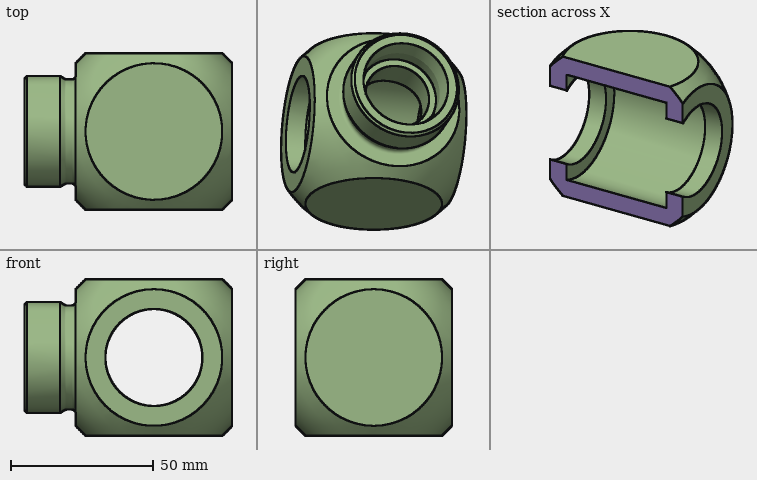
import cadquery as cq
import math

body_side = 55.0
face_circle_dia = 48.0
half_side = body_side / 2
sphere_radius = math.hypot(half_side, face_circle_dia / 2)

overall_length = 73.0
spigot_dia = 39.0
spigot_chamfer = 1.0
spigot_end_x = half_side - overall_length

undercut_dia = 36.7
undercut_length = 5.5
undercut_slope_angle = math.radians(30)
undercut_slope_fillet = 1.0
undercut_body_fillet = 1.2

mouth_dia = 30.7
mouth_cone_half_angle = math.radians(12)
socket_dia = 28.0
socket_depth = 12.0
passage_dia = 23.0

cross_bore_dia = 34.0
chamber_dia = 45.0
land_length = 7.0


def cylinder_along_y(diameter, length):
    return cq.Workplane("XZ").circle(diameter / 2).extrude(length / 2, both=True)


def revolve_about_x(profile):
    """Turn a closed (x, radius) profile around the X axis."""
    return profile.revolve(360, (0, 0, 0), (1, 0, 0))


def make_body():
    cube = cq.Workplane("XY").box(body_side, body_side, body_side)
    return cube.intersect(cq.Workplane("XY").sphere(sphere_radius))


def make_spigot():
    outer = spigot_dia / 2
    root = undercut_dia / 2
    body_x = -half_side
    slope_start_x = body_x - undercut_length
    slope_end_x = slope_start_x + (outer - root) / math.tan(undercut_slope_angle)

    tangent = undercut_slope_fillet * math.tan(undercut_slope_angle / 2)
    center_r = root + undercut_slope_fillet
    fillet_start = (
        slope_end_x - tangent * math.cos(undercut_slope_angle),
        root + tangent * math.sin(undercut_slope_angle),
    )
    fillet_end = (slope_end_x + tangent, root)
    fillet_middle = (
        fillet_end[0] - undercut_slope_fillet * math.sin(undercut_slope_angle / 2),
        center_r - undercut_slope_fillet * math.cos(undercut_slope_angle / 2),
    )

    round_offset = undercut_body_fillet * (1 - math.sqrt(0.5))
    profile = (
        cq.Workplane("XY")
        .moveTo(spigot_end_x, 0)
        .lineTo(spigot_end_x, outer - spigot_chamfer)
        .lineTo(spigot_end_x + spigot_chamfer, outer)
        .lineTo(slope_start_x, outer)
        .lineTo(*fillet_start)
        .threePointArc(fillet_middle, fillet_end)
        .lineTo(body_x - undercut_body_fillet, root)
        .threePointArc(
            (body_x - round_offset, root + round_offset),
            (body_x, root + undercut_body_fillet),
        )
        .lineTo(0, root + undercut_body_fillet)
        .lineTo(0, 0)
        .close()
    )
    return revolve_about_x(profile)


def make_socket_cutter():
    """Conical mouth, straight socket and passage reaching the cross bore."""
    cone_length = (mouth_dia - socket_dia) / 2 / math.tan(mouth_cone_half_angle)
    socket_end_x = spigot_end_x + socket_depth
    profile = (
        cq.Workplane("XY")
        .moveTo(spigot_end_x, 0)
        .lineTo(spigot_end_x, mouth_dia / 2)
        .lineTo(spigot_end_x + cone_length, socket_dia / 2)
        .lineTo(socket_end_x, socket_dia / 2)
        .lineTo(socket_end_x, passage_dia / 2)
        .lineTo(0, passage_dia / 2)
        .lineTo(0, 0)
        .close()
    )
    return revolve_about_x(profile)


def make_cross_bore_cutter():
    bore = cylinder_along_y(cross_bore_dia, body_side)
    chamber = cylinder_along_y(chamber_dia, body_side - 2 * land_length)
    return bore.union(chamber)


result = (
    make_body()
    .union(make_spigot())
    .cut(make_cross_bore_cutter())
    .cut(make_socket_cutter())
)